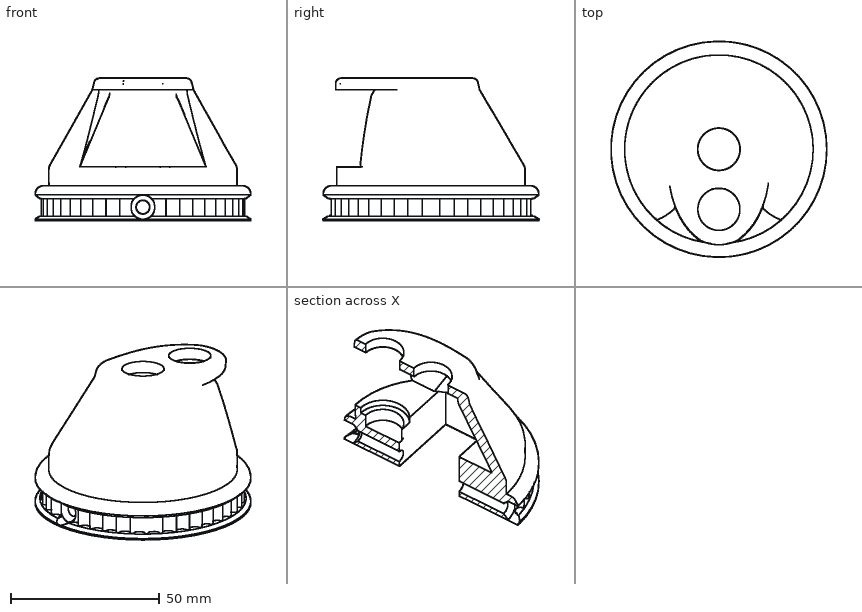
import cadquery as cq
import math

height = 48.0
floor_z = 18.05
plate_bottom_z = 44.0

flange_r = 36.4
tooth_tip_r = 34.3
belt_flange_r = 34.8
tooth_root_r = 32.45
tooth_count = 44
groove_r = 1.5
groove_flat = 0.6
lip_round = 0.45
belt_bottom_z = 1.5
belt_top_z = 7.4
rim_edge = 0.5
rim_top_z = 11.8
rim_round = 2.9
rim_lower_z = 8.65

collar_r = 63.5 / 2
hood_base_r = 32.2
hood_base_z = 17.2
shoulder_angle = 15
nose_angle = -79
plate_front_y = -32.15
collar_fillet = 3.9
shell_front_y = -24.7
plate_fillet = 2.0

neck_back_r = 16.45
neck_shoulder_r = 16.7
neck_waist = (17.1, -4.4)
neck_flank = (14.5, -19.85)
neck_nose = (6.25, -30.7)
top_back_r = 15.5
top_shoulder_r = 15.7
top_waist = (16.0, -4.4)
top_flank = (14.85, -19.35)
top_nose = (7.1, -30.4)

bore_r = 14.2 / 2
bore_offset = 20.2
seat_r = 9.1
seat_depth = 2.3
bore_floor_z = 10.8

opening_half_x = 26.2
opening_front_y = -13.25
opening_back_y = 11.85

hollow_base_r = 25.6
hollow_base_half_x = 21.25
hollow_top_r = 11.2
hollow_flare = 0.19
hollow_neck_z = 42.2
hollow_front_y = -40.0
hollow_neck_fillet = 2.9

screw_r = 4.5 / 2
screw_head_r = 4.1
screw_head_y = 32.4
screw_z = 4.5

margin = 0.7


def polar(radius, degrees):
    angle = math.radians(degrees)
    return radius * math.cos(angle), radius * math.sin(angle)


def mirrored(point):
    return -point[0], point[1]


def direction(point):
    return math.degrees(math.atan2(point.y, point.x))


def arc_middle(center, start, end):
    """Middle point of the short arc about the centre between two of its points."""
    toward_middle = ((start - center) + (end - center)).normalized()
    return center + toward_middle * (start - center).Length


def egg_wire(z, back_r, shoulder, waist, flank, nose):
    """Egg outline: back arc, two long curved sides and a front nose arc."""
    return (
        cq.Workplane("XY", origin=(0, 0, z))
        .moveTo(*shoulder)
        .threePointArc((0, back_r), mirrored(shoulder))
        .spline([mirrored(waist), mirrored(flank), mirrored(nose)], includeCurrent=True)
        .threePointArc((0, plate_front_y), nose)
        .spline([flank, waist, shoulder], includeCurrent=True)
        .close()
        .val()
    )


def base_circle_wire(z, radius):
    """Circle split into four arcs that pair with the four stretches of the egg outline."""
    shoulder = polar(radius, shoulder_angle)
    side = polar(radius, (shoulder_angle + nose_angle) / 2)
    nose = polar(radius, nose_angle)
    return (
        cq.Workplane("XY", origin=(0, 0, z))
        .moveTo(*shoulder)
        .threePointArc((0, radius), mirrored(shoulder))
        .threePointArc(mirrored(side), mirrored(nose))
        .threePointArc((0, -radius), nose)
        .threePointArc(side, shoulder)
        .close()
        .val()
    )


def cylinder(y, radius, bottom_z, top_z):
    return cq.Workplane("XY", origin=(0, y, bottom_z)).circle(radius).extrude(top_z - bottom_z)


def box(low, high):
    size = [top - bottom for bottom, top in zip(low, high)]
    return cq.Workplane(cq.Solid.makeBox(*size, cq.Vector(*low)))


def make_wheel():
    """Turned body with a flange on each side of the belt channel."""
    profile = (
        cq.Workplane("XZ")
        .lineTo(flange_r, 0)
        .lineTo(flange_r, rim_edge)
        .lineTo(belt_flange_r, belt_bottom_z)
        .lineTo(tooth_root_r, belt_bottom_z)
        .lineTo(tooth_root_r, belt_top_z)
        .lineTo(belt_flange_r, belt_top_z)
        .lineTo(flange_r, rim_lower_z)
        .lineTo(flange_r, rim_top_z - rim_round)
        .radiusArc((flange_r - rim_round, rim_top_z), -rim_round)
        .lineTo(0, rim_top_z)
        .close()
    )
    return profile.revolve(360, (0, 0, 0), (0, 1, 0))


def make_toothed_belt():
    """Toothed disc: round grooves whose mouths are rounded onto the tooth tips."""
    pitch = 360 / tooth_count
    groove_center = cq.Vector(tooth_root_r + groove_r, groove_flat / 2)
    root_corner = cq.Vector(tooth_root_r, groove_flat / 2)

    lip_center_r = tooth_tip_r - lip_round
    lip_reach = groove_r + lip_round
    axis_to_groove = groove_center.Length
    cos_lip = (axis_to_groove**2 + lip_center_r**2 - lip_reach**2) / (2 * axis_to_groove * lip_center_r)
    lip_center = cq.Vector(*polar(lip_center_r, direction(groove_center) + math.degrees(math.acos(cos_lip))))
    groove_end = lip_center + (groove_center - lip_center).normalized() * lip_round
    tip_end = lip_center.normalized() * tooth_tip_r
    lip_middle = arc_middle(lip_center, groove_end, tip_end)
    groove_middle = arc_middle(groove_center, root_corner, groove_end)

    def turned(point, angle, side):
        """The point on one side (1 or -1) of the groove whose middle lies at the angle."""
        return polar(point.Length, angle + side * direction(point))

    outline = cq.Workplane("XY", origin=(0, 0, belt_bottom_z)).moveTo(*turned(tip_end, 0, -1))
    for index in range(tooth_count):
        angle = index * pitch
        next_tip = turned(tip_end, angle + pitch, -1)
        outline = (
            outline.threePointArc(turned(lip_middle, angle, -1), turned(groove_end, angle, -1))
            .threePointArc(turned(groove_middle, angle, -1), turned(root_corner, angle, -1))
            .lineTo(*turned(root_corner, angle, 1))
            .threePointArc(turned(groove_middle, angle, 1), turned(groove_end, angle, 1))
            .threePointArc(turned(lip_middle, angle, 1), turned(tip_end, angle, 1))
            .threePointArc(polar(tooth_tip_r, angle + pitch / 2), next_tip)
        )
    return outline.close().extrude(belt_top_z - belt_bottom_z)


def make_hood():
    """Tapered shell from circle to egg, and the rounded egg plate that closes it."""
    base = base_circle_wire(hood_base_z, hood_base_r)
    neck_shoulder = polar(neck_shoulder_r, shoulder_angle)
    neck = egg_wire(plate_bottom_z, neck_back_r, neck_shoulder, neck_waist, neck_flank, neck_nose)
    top_shoulder = polar(top_shoulder_r, shoulder_angle)
    top = egg_wire(height, top_back_r, top_shoulder, top_waist, top_flank, top_nose)
    shell = cq.Workplane(cq.Solid.makeLoft([base, neck], True))
    plate = cq.Workplane(cq.Solid.makeLoft([neck, top], True))
    return shell, plate.faces(">Z").edges().fillet(plate_fillet)


def hollow_wire(z, radius, corner, flare):
    front_x = corner[0] + flare * (corner[1] - hollow_front_y)
    front = (front_x, hollow_front_y)
    return (
        cq.Workplane("XY", origin=(0, 0, z))
        .moveTo(*front)
        .lineTo(*corner)
        .threePointArc((0, radius), mirrored(corner))
        .lineTo(*mirrored(front))
        .close()
        .val()
    )


def make_hollow():
    """Flared space under the plate, open to the front, with a straight neck at its top."""
    corner_y = -math.sqrt(hollow_base_r**2 - hollow_base_half_x**2)
    base = hollow_wire(floor_z, hollow_base_r, (hollow_base_half_x, corner_y), 0)
    neck = hollow_wire(hollow_neck_z, hollow_top_r, (hollow_top_r, 0), hollow_flare)
    flared = cq.Workplane(cq.Solid.makeLoft([base, neck], True))
    straight = cq.Workplane(cq.Solid.extrudeLinear(neck, [], cq.Vector(0, 0, plate_bottom_z - hollow_neck_z)))
    hollow = flared.union(straight)
    behind_axis = cq.selectors.BoxSelector(
        (-flange_r, -margin, hollow_neck_z - margin),
        (flange_r, flange_r, hollow_neck_z + margin),
    )
    return hollow.edges(behind_axis).fillet(hollow_neck_fillet)


def make_screw_cut():
    """Screw holes through front and back, each with a sunk head seat."""
    cone_depth = screw_head_r - screw_r
    profile = (
        cq.Workplane("XY", origin=(0, 0, screw_z))
        .lineTo(screw_r, 0)
        .lineTo(screw_r, screw_head_y - cone_depth)
        .lineTo(screw_head_r, screw_head_y)
        .lineTo(screw_head_r, flange_r + margin)
        .lineTo(0, flange_r + margin)
        .close()
    )
    half = profile.revolve(360, (0, 0, 0), (0, 1, 0))
    return half.union(half.mirror("XZ"))


def make_collar_and_shell(shell):
    """Collar with the tapered shell on it, open at the front and rounded where the two meet."""
    collar = cylinder(0, collar_r, rim_top_z, hood_base_z)
    limit = cylinder(0, collar_r, hood_base_z, plate_bottom_z)
    front = box((-flange_r, -flange_r, floor_z), (flange_r, shell_front_y, height))
    joined = collar.union(shell.intersect(limit)).cut(front)
    near_floor = cq.selectors.BoxSelector(
        (-flange_r, -flange_r, floor_z - 2 * margin),
        (flange_r, flange_r, floor_z + 2 * margin),
    )
    return joined.edges("%BSPLINE").edges(near_floor).fillet(collar_fillet)


wheel = make_wheel().union(make_toothed_belt())
shell, plate = make_hood()
hood = make_collar_and_shell(shell).cut(make_hollow()).union(plate)
opening = box((-opening_half_x, opening_front_y, 0), (opening_half_x, opening_back_y, floor_z))
cutters = (
    opening.union(make_screw_cut())
    .union(cylinder(-bore_offset, bore_r, bore_floor_z, height))
    .union(cylinder(-bore_offset, seat_r, floor_z - seat_depth, floor_z))
    .union(cylinder(0, bore_r, plate_bottom_z, height))
)
result = wheel.union(hood).cut(cutters)